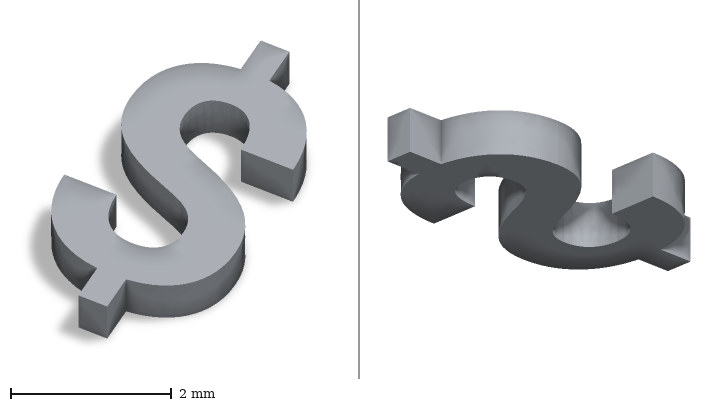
import cadquery as cq


width = 2.49
height = 4.81
thickness = 0.6

bar_width = 0.405
top_bar_left = 1.14
bottom_bar_left = 1.083

stroke_end_width = 0.732
upper_end_y = 3.085
lower_end_y = 1.705

outer_top = (1.326, 4.281)
outer_left = (0.14, 3.218)
outer_right = (width, 1.533)
outer_bottom = (1.284, 0.5)

upper_bowl_top = (1.308, 3.697)
upper_bowl_left = (0.874, 3.261)
lower_bowl_right = (1.76, 1.536)
lower_bowl_bottom = (1.28, 1.08)

diagonal_upper = (1.407, 2.701)
diagonal_upper_slope = -0.389
diagonal_lower = (1.297, 2.058)
diagonal_lower_slope = -0.383

outer_fullness = 0.624
bowl_fullness = 0.641
diagonal_fullness = 0.557

upper_end_outer = (width, upper_end_y)
upper_end_inner = (width - stroke_end_width, upper_end_y)
lower_end_outer = (0, lower_end_y)
lower_end_inner = (stroke_end_width, lower_end_y)


def side_handle(side_point, other_point, fullness):
    """Handle straight above or below a point with a vertical tangent."""
    x, y = side_point
    return (x, y + fullness * (other_point[1] - y))


def sloped_handle(point, other_point, fullness, slope=0):
    """Handle along the tangent of the given slope; level unless told otherwise."""
    x, y = point
    reach = fullness * (other_point[0] - x)
    return (x + reach, y + slope * reach)


def curve_from_side(outline, side_point, end, fullness, end_slope=0):
    """Add a curve that leaves vertically and arrives along a slope."""
    handles = [
        side_handle(side_point, end, fullness),
        sloped_handle(end, side_point, fullness, end_slope),
    ]
    return outline.bezier([*handles, end], includeCurrent=True)


def curve_to_side(outline, start, side_point, fullness, start_slope=0):
    """Add a curve that leaves along a slope and arrives vertically."""
    handles = [
        sloped_handle(start, side_point, fullness, start_slope),
        side_handle(side_point, start, fullness),
    ]
    return outline.bezier([*handles, side_point], includeCurrent=True)


def add_bowl(outline, start, middle, end, fullness):
    """Add two curves that turn over a top or bottom point between two sides."""
    outline = curve_from_side(outline, start, middle, fullness)
    return curve_to_side(outline, middle, end, fullness)


def add_diagonal_edge(outline, start, middle, end, slope):
    """Add one S-bent edge of the diagonal, between two side points."""
    outline = curve_from_side(outline, start, middle, diagonal_fullness, slope)
    return curve_to_side(outline, middle, end, diagonal_fullness, slope)


def make_stroke():
    """S-shaped stroke, traced from its outer left extreme over the top."""
    outline = cq.Workplane("XY").moveTo(*outer_left)

    outline = add_bowl(outline, outer_left, outer_top, upper_end_outer, outer_fullness)
    outline = outline.lineTo(*upper_end_inner)
    outline = add_bowl(outline, upper_end_inner, upper_bowl_top, upper_bowl_left, bowl_fullness)

    outline = add_diagonal_edge(
        outline, upper_bowl_left, diagonal_upper, outer_right, diagonal_upper_slope
    )

    outline = add_bowl(outline, outer_right, outer_bottom, lower_end_outer, outer_fullness)
    outline = outline.lineTo(*lower_end_inner)
    outline = add_bowl(outline, lower_end_inner, lower_bowl_bottom, lower_bowl_right, bowl_fullness)

    outline = add_diagonal_edge(
        outline, lower_bowl_right, diagonal_lower, outer_left, diagonal_lower_slope
    )
    return outline.close().extrude(thickness)


def make_bar(left, bottom, top):
    """Rectangular bar of the full thickness."""
    return (
        cq.Workplane("XY")
        .moveTo(left, bottom)
        .rect(bar_width, top - bottom, centered=False)
        .extrude(thickness)
    )


upper_stroke_middle = (outer_top[1] + upper_bowl_top[1]) / 2
lower_stroke_middle = (outer_bottom[1] + lower_bowl_bottom[1]) / 2
top_bar = make_bar(top_bar_left, upper_stroke_middle, height)
bottom_bar = make_bar(bottom_bar_left, 0, lower_stroke_middle)

result = make_stroke().union(top_bar).union(bottom_bar)